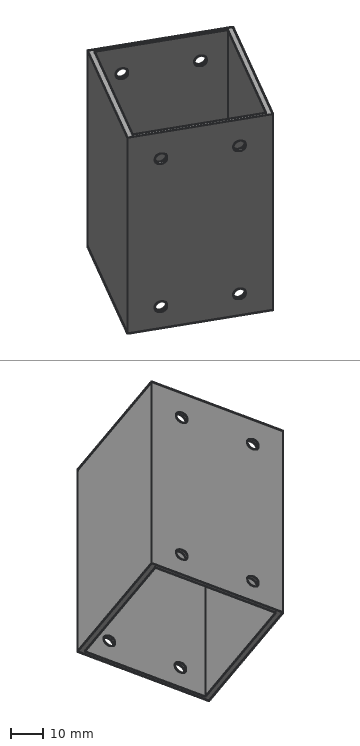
import cadquery as cq

width = 47.1
depth = 46.8
height = 75.7
side_wall = 1.2
face_wall = 2.0

hole_diameter = 4.0
hole_spacing = 25.3
lower_hole_height = 8.3
upper_hole_height = 65.5

outer = cq.Workplane("XY").rect(width, depth).extrude(height)
bore = cq.Workplane("XY").rect(width - 2 * side_wall, depth - 2 * face_wall).extrude(height)

hole_centres = [
    (y, z)
    for y in (-hole_spacing / 2, hole_spacing / 2)
    for z in (lower_hole_height, upper_hole_height)
]
holes = (
    cq.Workplane("YZ")
    .pushPoints(hole_centres)
    .circle(hole_diameter / 2)
    .extrude(width / 2, both=True)
)

result = outer.cut(bore).cut(holes)